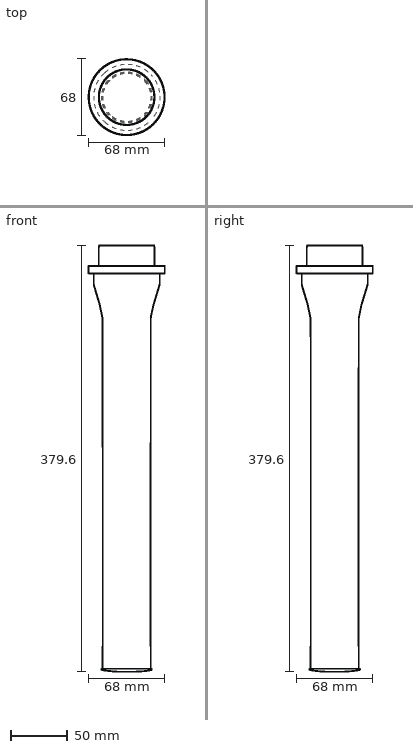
import cadquery as cq

total_length = 379.58

spigot_top_diameter = 49.7
spigot_base_diameter = 49.99
flange_diameter = 68.0
collar_diameter = 59.0
tube_wide_diameter = 43.34
tube_narrow_diameter = 42.89

spigot_lead_in_width = 0.4
spigot_lead_in_height = 1.5
flange_chamfer = 0.5

spigot_step_start_depth = 7.0
spigot_step_end_depth = 9.5
flange_top_depth = 18.1
flange_base_depth = 25.18
collar_end_depth = 34.8
throat_depth = 64.5
tube_taper_start_depth = 69.0
tube_taper_end_depth = total_length / 2
tube_step_start_depth = 356.3
tube_step_end_depth = 358.6

throat_curve_height = 5.0

plug_height = 2.8
plug_bulge = 2.83
plug_bulge_height = 2.2
plug_dome_reach = 21.5


def profile_point(diameter, depth):
    """Point of the housing's half profile, at a depth below its top face."""
    return (diameter / 2, total_length - depth)


def revolve_about_z(profile):
    """Turn a closed half profile, drawn in the XZ plane, into a solid of revolution."""
    return profile.close().revolve(360, (0, 0, 0), (0, 1, 0))


def make_housing():
    """Solid tube with a funnel-shaped head, a flange and a round spigot on top."""
    flange_face_diameter = flange_diameter - 2 * flange_chamfer
    spigot_face_diameter = spigot_top_diameter - 2 * spigot_lead_in_width

    profile = (
        cq.Workplane("XZ")
        .moveTo(0, plug_height)
        .lineTo(tube_wide_diameter / 2, plug_height)
        .lineTo(*profile_point(tube_wide_diameter, tube_step_end_depth))
        .lineTo(*profile_point(tube_narrow_diameter, tube_step_start_depth))
        .lineTo(*profile_point(tube_narrow_diameter, tube_taper_end_depth))
        .lineTo(*profile_point(tube_wide_diameter, tube_taper_start_depth))
        .lineTo(*profile_point(tube_wide_diameter, throat_depth))
    )

    profile = profile.bezier(
        [
            profile_point(tube_wide_diameter, throat_depth),
            profile_point(tube_wide_diameter, throat_depth - throat_curve_height),
            profile_point(collar_diameter, collar_end_depth),
        ]
    )

    profile = (
        profile.lineTo(*profile_point(collar_diameter, flange_base_depth))
        .lineTo(*profile_point(flange_face_diameter, flange_base_depth))
        .lineTo(*profile_point(flange_diameter, flange_base_depth - flange_chamfer))
        .lineTo(*profile_point(flange_diameter, flange_top_depth + flange_chamfer))
        .lineTo(*profile_point(flange_face_diameter, flange_top_depth))
    )

    profile = (
        profile.lineTo(*profile_point(spigot_base_diameter, flange_top_depth))
        .lineTo(*profile_point(spigot_base_diameter, spigot_step_end_depth))
        .lineTo(*profile_point(spigot_top_diameter, spigot_step_start_depth))
        .lineTo(*profile_point(spigot_top_diameter, spigot_lead_in_height))
        .lineTo(*profile_point(spigot_face_diameter, 0))
        .lineTo(0, total_length)
    )
    return revolve_about_z(profile)


def make_end_plug():
    """Domed disc that closes the lower end of the tube."""
    tube_radius = tube_wide_diameter / 2
    profile = (
        cq.Workplane("XZ")
        .moveTo(0, plug_height)
        .lineTo(tube_radius, plug_height)
        .bezier(
            [
                (tube_radius, plug_height),
                (tube_radius + plug_bulge, plug_bulge_height),
                (plug_dome_reach, 0),
                (0, 0),
            ]
        )
    )
    return revolve_about_z(profile)


housing = make_housing()
end_plug = make_end_plug()

result = cq.Compound.makeCompound([housing.val(), end_plug.val()])